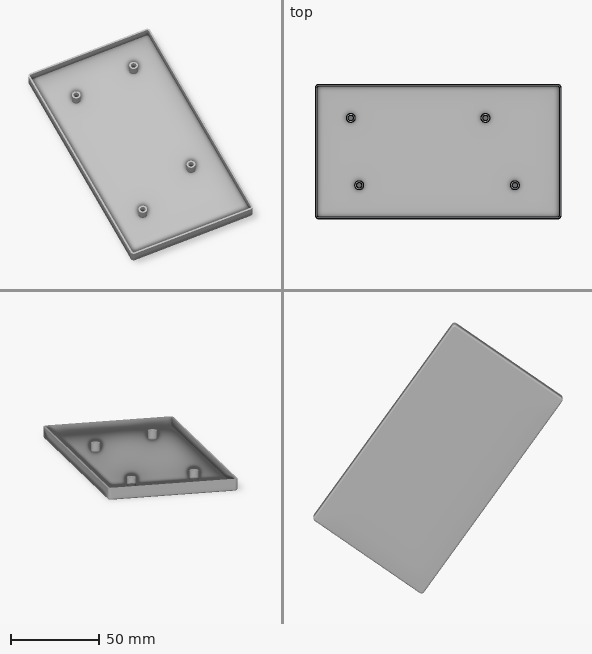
import cadquery as cq

length = 139.1
width = 76.2
height = 7.0

wall = 1.0
floor = 2.0
corner_radius = 2.0
inner_corner_radius = corner_radius - wall
bottom_edge_radius = 1.0

post_diameter = 5.0
post_bore_diameter = 3.0
post_height = height - floor
post_row_y = 19.0
post_centers = [
    (-49.5, post_row_y),
    (26.7, post_row_y),
    (-44.8, -post_row_y),
    (43.4, -post_row_y),
]


def make_tray():
    """Open-topped tray with rounded corners and a rounded bottom edge."""
    body = (
        cq.Workplane("XY")
        .rect(length, width)
        .extrude(height)
        .edges("|Z")
        .fillet(corner_radius)
        .faces("<Z")
        .edges()
        .fillet(bottom_edge_radius)
    )
    cavity = (
        cq.Workplane("XY")
        .workplane(offset=floor)
        .rect(length - 2 * wall, width - 2 * wall)
        .extrude(height - floor)
        .edges("|Z")
        .fillet(inner_corner_radius)
    )
    return body.cut(cavity)


def make_posts():
    """Tubular standoffs whose bores stop at the tray floor."""
    return (
        cq.Workplane("XY")
        .workplane(offset=floor)
        .pushPoints(post_centers)
        .circle(post_diameter / 2)
        .circle(post_bore_diameter / 2)
        .extrude(post_height)
    )


result = make_tray().union(make_posts())